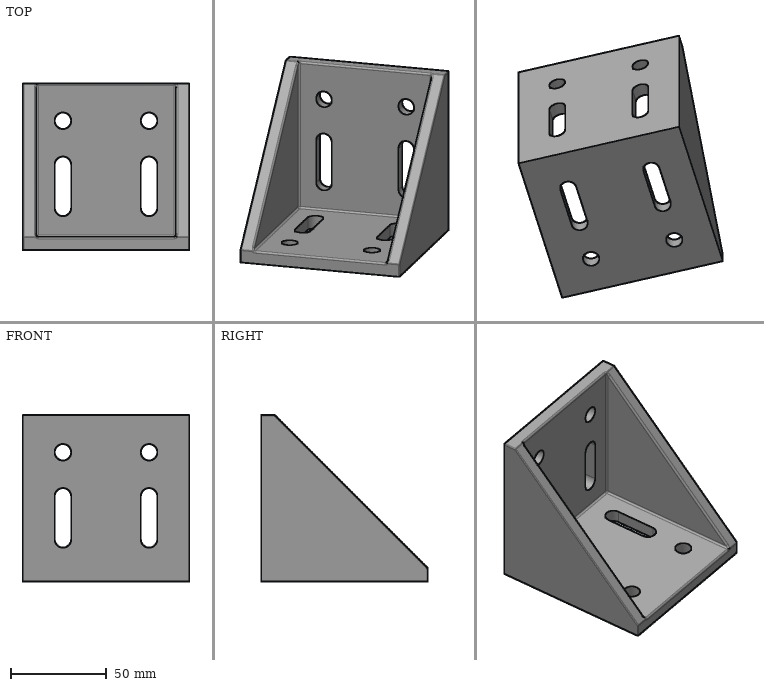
import cadquery as cq

SIZE = 87.0
WALL = 7.0

INNER_RADIUS = 1.0
CREASE_RADIUS = 0.7
OUTER_RADIUS = 0.5

HOLE_DIAMETER = 8.5
COLUMN_SPACING = 45.0
HOLE_HEIGHT = 67.5
SLOT_HEIGHT = 33.25
SLOT_LENGTH = 31.0

TOLERANCE = 0.01


def edges_inside(body, low, high):
    """Edges of the body that lie wholly inside a box given by two corners."""
    def inside(edge):
        box = edge.BoundingBox()
        return (
            low[0] - TOLERANCE < box.xmin and box.xmax < high[0] + TOLERANCE
            and low[1] - TOLERANCE < box.ymin and box.ymax < high[1] + TOLERANCE
            and low[2] - TOLERANCE < box.zmin and box.zmax < high[2] + TOLERANCE
        )

    return body.newObject([edge for edge in body.edges().vals() if inside(edge)])


def make_wedge():
    """Solid wedge: a square side profile with its free corner cut at 45 degrees."""
    return (
        cq.Workplane("YZ")
        .moveTo(0, 0)
        .lineTo(SIZE, 0)
        .lineTo(SIZE, WALL)
        .lineTo(WALL, SIZE)
        .lineTo(0, SIZE)
        .close()
        .extrude(SIZE)
    )


def round_creases(body):
    """Round the two blunt creases at the upper and lower end of the slope."""
    upper = edges_inside(body, (0, WALL, SIZE), (SIZE, WALL, SIZE))
    lower = edges_inside(body, (0, SIZE, WALL), (SIZE, SIZE, WALL))
    return upper.add(lower).fillet(CREASE_RADIUS)


def hollow(body):
    """Open the wedge between the gussets, with rounded inside corners."""
    reach = 2 * SIZE
    cavity = (
        cq.Workplane("XY")
        .box(SIZE - 2 * WALL, reach, reach, centered=False)
        .edges("<Z or (|Z and <Y)")
        .edges("not >Y")
        .fillet(INNER_RADIUS)
    )
    return body.cut(cavity.translate((WALL, WALL, WALL)))


def round_cavity_rim(body):
    """Round the closed rim where the cavity meets the slope, the back top and the floor end."""
    low = (WALL, WALL, WALL)
    high = (SIZE - WALL, SIZE, SIZE)
    rim = []
    for edge in edges_inside(body, low, high).vals():
        middle = edge.Center()
        if middle.y + middle.z > SIZE + WALL - INNER_RADIUS / 2:
            rim.append(edge)
    return body.newObject(rim).fillet(INNER_RADIUS)


def round_gusset_rims(body):
    """Round the top, sloping and end edges on the outer face of each gusset."""
    for x in (0, SIZE):
        outline = edges_inside(body, (x, 0, 0), (x, SIZE, SIZE))
        body = outline.edges("not(<Y or <Z)").fillet(OUTER_RADIUS)
    return body


def cut_fasteners(body, plane, depth):
    """Cut two round holes and two slots through the plate lying on the plane."""
    for side in (-1, 1):
        x = SIZE / 2 + side * COLUMN_SPACING / 2
        hole = cq.Workplane(plane).center(x, HOLE_HEIGHT).circle(HOLE_DIAMETER / 2).extrude(depth)
        slot = cq.Workplane(plane).center(x, SLOT_HEIGHT).slot2D(SLOT_LENGTH, HOLE_DIAMETER, 90).extrude(depth)
        body = body.cut(hole).cut(slot)
    return body


bracket = round_creases(make_wedge())
bracket = round_gusset_rims(bracket)
bracket = hollow(bracket)
bracket = round_cavity_rim(bracket)
bracket = cut_fasteners(bracket, "XY", WALL)
result = cut_fasteners(bracket, "XZ", -WALL)